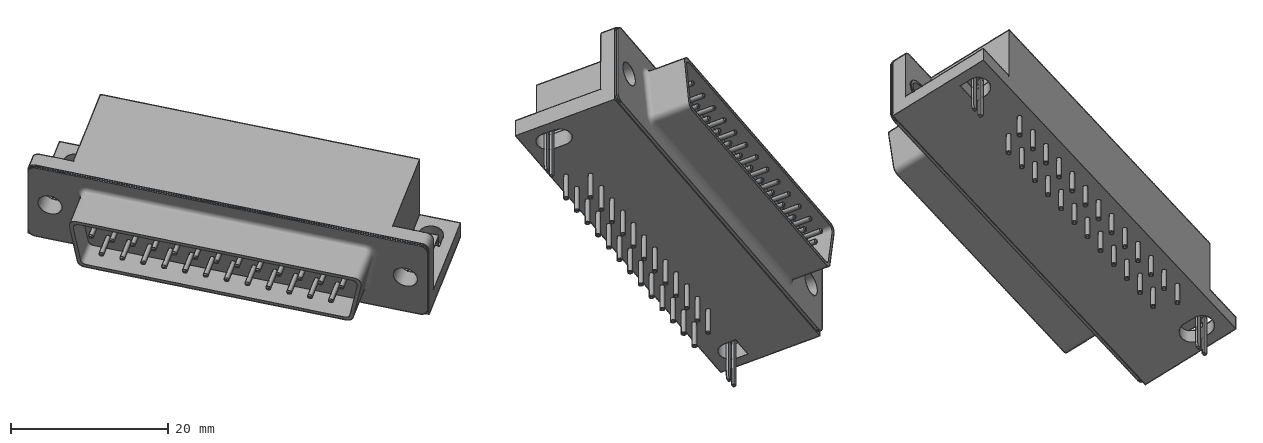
import cadquery as cq
import math


WIDTH = 53.1
HEIGHT = 12.55
DEPTH = 14.9
FLANGE_THICKNESS = 2.45
CORNER_RADIUS = 1.0
FOOT_WIDTH = 5.4
FOOT_HEIGHT = 2.55

SHEET_THICKNESS = 0.2
SHEET_STEP = 0.05
SHEET_BOTTOM = 0.15
PLATE_THICKNESS = 2 * SHEET_THICKNESS

SHELL_CENTRE_Z = 6.3
SHELL_TOP_WIDTH = 38.65
SHELL_HEIGHT = 7.85
SHELL_LENGTH = 5.75
SHELL_WALL = 0.5
SHELL_SIDE_ANGLE = 10.0
SHELL_OUTER_RADIUS = 0.95
SHELL_INNER_RADIUS = 0.75
SHELL_BASE_FILLET = 0.65
CAVITY_FLOOR_Y = -2.2

HOLE_DIAMETER = 3.2
HOLE_X = 23.5
SLOT_BACK_Y = DEPTH - 3.15
SLOT_FRONT_Y = DEPTH - 4.8

EYE_DIAMETER = 4.0
STRIP_WIDTH = 2.0
STRIP_THICKNESS = 0.3
STRIP_PROUD = 0.15
STRIP_END_Y = DEPTH - 3.1
PRONG_WIDTH = 0.65
PRONG_BOTTOM = -5.35
PRONG_TIP_HEIGHT = 0.65
PRONG_TIP_INSET = 0.15

PIN_DIAMETER = 0.65
PIN_PITCH = 2.75
ROW_SPACING = 2.8
UPPER_COUNT = 13
LOWER_COUNT = 12
PIN_ROOT = 0.55
CONTACT_TIP_Y = -5.5
CONTACT_CHAMFER = 0.15
TAIL_BOTTOM = -3.9
TAIL_CHAMFER = 0.1
TAIL_ROW_MID_Y = DEPTH - 3.2


def box(x_min, x_max, y_min, y_max, z_min, z_max):
    size = (x_max - x_min, y_max - y_min, z_max - z_min)
    return cq.Workplane("XY").box(*size, centered=False).translate((x_min, y_min, z_min))


def y_cylinder(diameter, x, z, y_min, y_max):
    return (
        cq.Workplane("XZ", origin=(x, y_min, z))
        .circle(diameter / 2)
        .extrude(y_min - y_max)
    )


def make_housing():
    half_width = WIDTH / 2
    housing = box(-half_width, half_width, PLATE_THICKNESS, FLANGE_THICKNESS, 0, HEIGHT)
    housing = housing.edges("|Y and >Z").fillet(CORNER_RADIUS)
    for layer in (1, 2):
        sheet_half = half_width - layer * SHEET_STEP
        sheet_top = HEIGHT - layer * SHEET_STEP
        back_y = PLATE_THICKNESS - (layer - 1) * SHEET_THICKNESS
        sheet = box(-sheet_half, sheet_half, back_y - SHEET_THICKNESS, back_y, SHEET_BOTTOM, sheet_top)
        housing = housing.union(sheet.edges("|Y").fillet(CORNER_RADIUS))
    foot = box(-half_width, half_width, FLANGE_THICKNESS, DEPTH, 0, FOOT_HEIGHT)
    half_body = half_width - FOOT_WIDTH
    body = box(-half_body, half_body, FLANGE_THICKNESS, DEPTH, 0, HEIGHT)
    return housing.union(foot).union(body)


def shell_prism(inset, corner_radius, y_min, y_max):
    """D-shaped prism: a rounded trapezoid, wider at the top, moved inwards by inset."""
    angle = math.radians(SHELL_SIDE_ANGLE)
    corner_reach = SHELL_OUTER_RADIUS * ((1 + math.sin(angle)) / math.cos(angle) - 1)
    sharp_half_width = SHELL_TOP_WIDTH / 2 + corner_reach
    half_height = SHELL_HEIGHT / 2 - inset
    top_half = sharp_half_width - inset * (1 + math.sin(angle)) / math.cos(angle)
    bottom_half = top_half - 2 * half_height * math.tan(angle)
    return (
        cq.Workplane("XZ", origin=(0, y_min, SHELL_CENTRE_Z))
        .moveTo(-top_half, half_height)
        .lineTo(top_half, half_height)
        .lineTo(bottom_half, -half_height)
        .lineTo(-bottom_half, -half_height)
        .close()
        .extrude(y_min - y_max)
        .edges("|Y")
        .fillet(corner_radius)
    )


def add_shell(part):
    outer = shell_prism(0, SHELL_OUTER_RADIUS, -SHELL_LENGTH, PLATE_THICKNESS)
    cavity = shell_prism(SHELL_WALL, SHELL_INNER_RADIUS, -SHELL_LENGTH, CAVITY_FLOOR_Y)
    reach = 0.05
    base_edges = cq.selectors.BoxSelector(
        (-SHELL_TOP_WIDTH / 2 - reach, -reach, SHELL_CENTRE_Z - SHELL_HEIGHT / 2 - reach),
        (SHELL_TOP_WIDTH / 2 + reach, reach, SHELL_CENTRE_Z + SHELL_HEIGHT / 2 + reach),
    )
    return part.union(outer).edges(base_edges).fillet(SHELL_BASE_FILLET).cut(cavity)


def make_slot(x, rounded_front):
    """Upright slot through the foot, with a round back end and a round or flat front end."""
    radius = HOLE_DIAMETER / 2
    slot = box(x - radius, x + radius, SLOT_FRONT_Y, SLOT_BACK_Y, 0, FOOT_HEIGHT)
    round_ends = [SLOT_BACK_Y]
    if rounded_front:
        round_ends.append(SLOT_FRONT_Y)
    for y in round_ends:
        slot = slot.union(cq.Workplane("XY", origin=(x, y, 0)).circle(radius).extrude(FOOT_HEIGHT))
    return slot


def make_prong(x, outward):
    """Flat prong under the strip end; outward is the side (+1 or -1) of its outer edge."""
    outer = outward * STRIP_WIDTH / 2
    inner = outer - outward * PRONG_WIDTH
    return (
        cq.Workplane("XZ", origin=(x, STRIP_END_Y, 0))
        .moveTo(inner, FOOT_HEIGHT)
        .lineTo(outer, FOOT_HEIGHT)
        .lineTo(outer, PRONG_BOTTOM + PRONG_TIP_HEIGHT)
        .lineTo(outer - outward * PRONG_TIP_INSET, PRONG_BOTTOM)
        .lineTo(inner, PRONG_BOTTOM)
        .close()
        .extrude(STRIP_THICKNESS)
    )


def make_bracket(x):
    """Eye and strip on the back of the flange, strip along the foot, two prongs down the slot."""
    back_y = FLANGE_THICKNESS + STRIP_PROUD
    top_z = FOOT_HEIGHT + STRIP_PROUD
    half_strip = STRIP_WIDTH / 2
    eye = y_cylinder(EYE_DIAMETER, x, SHELL_CENTRE_Z, back_y - STRIP_THICKNESS, back_y)
    upright = box(
        x - half_strip, x + half_strip,
        back_y - STRIP_THICKNESS, back_y,
        FOOT_HEIGHT, SHELL_CENTRE_Z,
    )
    strip = box(
        x - half_strip, x + half_strip,
        FLANGE_THICKNESS, STRIP_END_Y,
        top_z - STRIP_THICKNESS, top_z,
    )
    bracket = eye.union(upright).union(strip)
    for outward in (-1, 1):
        bracket = bracket.union(make_prong(x, outward))
    return bracket


def row_positions(count):
    return [(i - (count - 1) / 2) * PIN_PITCH for i in range(count)]


def add_pins(part):
    """Two staggered contact rows in the shell, each contact with a solder tail below."""
    rows = (
        (UPPER_COUNT, ROW_SPACING / 2),
        (LOWER_COUNT, -ROW_SPACING / 2),
    )
    for count, offset in rows:
        for x in row_positions(count):
            contact = y_cylinder(
                PIN_DIAMETER, x, SHELL_CENTRE_Z + offset, CONTACT_TIP_Y, CAVITY_FLOOR_Y + PIN_ROOT
            )
            tail = (
                cq.Workplane("XY", origin=(x, TAIL_ROW_MID_Y + offset, TAIL_BOTTOM))
                .circle(PIN_DIAMETER / 2)
                .extrude(PIN_ROOT - TAIL_BOTTOM)
            )
            part = part.union(contact.faces("<Y").chamfer(CONTACT_CHAMFER))
            part = part.union(tail.faces("<Z").chamfer(TAIL_CHAMFER))
    return part


result = add_shell(make_housing())
for side in (-1, 1):
    hole_x = side * HOLE_X
    result = result.cut(make_slot(hole_x, rounded_front=side < 0))
    result = result.union(make_bracket(hole_x))
    result = result.cut(y_cylinder(HOLE_DIAMETER, hole_x, SHELL_CENTRE_Z, 0, DEPTH))
result = add_pins(result)